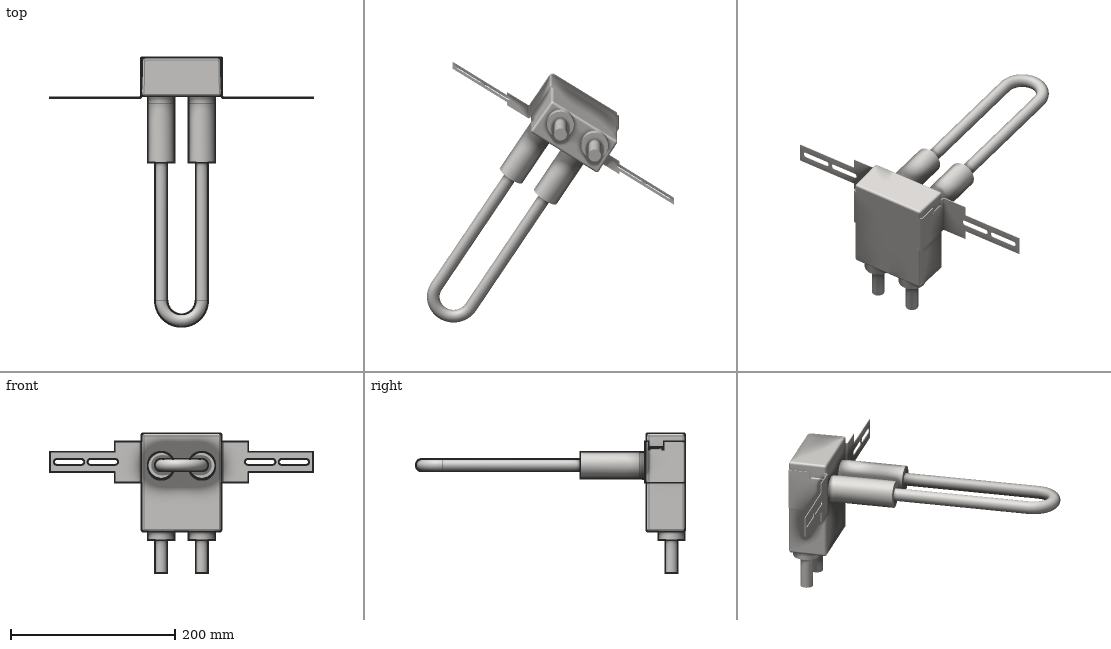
import cadquery as cq
import math


housing_width = 97.7
housing_rear_width = 95.8
housing_depth = 47.5
housing_height = 120.0
housing_fillet = 3.0

pipe_diameter = 15.5
pipe_spacing = 49.5
pipe_front_reach = 328.0
pipe_tail = 40.5
sleeve_diameter = 32.8
sleeve_front_reach = 128.0
sleeve_collar = 10.2
elbow_radius = 39.5
front_leg_drop = 39.0
riser_y = -16.7

sheet = 1.0
bend_radius = 2.0
strap_height = 50.2
strap_center_drop = 35.0
strap_depth = 49.5
flange_half_width = 81.5
arm_half_span = 160.0
arm_height = 25.0
slot_length = 36.7
slot_height = 7.0
slot_centers = (95.8, 136.8)

notch_rear_y = -26.0
notch_front_y = -44.5
notch_depth = 10.2
tab_rear_y = -28.2
tab_front_y = -43.3
tab_drop = 7.0
tab_inset = 6.5

leg_x = pipe_spacing / 2
bend_start_y = riser_y - elbow_radius
front_leg_z = housing_height - front_leg_drop
riser_top_z = front_leg_z - elbow_radius
sleeve_bottom_z = -sleeve_collar
pipe_bottom_z = sleeve_bottom_z - pipe_tail
return_start_y = pipe_diameter / 2 + leg_x - pipe_front_reach
strap_half_width = housing_width / 2 + sheet
strap_center_z = housing_height - strap_center_drop
strap_bottom_z = strap_center_z - strap_height / 2
strap_top_z = strap_center_z + strap_height / 2
inner_bend_radius = bend_radius - sheet
tab_top_z = strap_top_z - tab_drop
notch_floor_z = strap_top_z - notch_depth


def box(x_range, y_range, z_range):
    """Axis-aligned block between the given limits."""
    size = [abs(b - a) for a, b in (x_range, y_range, z_range)]
    low = [min(limits) for limits in (x_range, y_range, z_range)]
    return cq.Workplane("XY").box(*size, centered=False).translate(tuple(low))


def leg_path(x, bottom_z, front_y):
    """Centre line of one leg: up from the bottom, round the elbow and out of the front."""
    corner = elbow_radius * math.sqrt(0.5)
    elbow_middle = (bend_start_y + corner, riser_top_z + corner)
    return (
        cq.Workplane("YZ", origin=(x, 0, 0))
        .moveTo(riser_y, bottom_z)
        .lineTo(riser_y, riser_top_z)
        .threePointArc(elbow_middle, (bend_start_y, front_leg_z))
        .lineTo(front_y, front_leg_z)
    )


def leg(x, diameter, bottom_z, front_y):
    """Round bar swept along one leg."""
    start = cq.Workplane("XY", origin=(x, riser_y, bottom_z))
    return start.circle(diameter / 2).sweep(leg_path(x, bottom_z, front_y))


def make_pipe():
    """Both legs joined by a half-circle return bend at the front."""
    return_bend = (
        cq.Workplane("XZ", origin=(leg_x, return_start_y, front_leg_z))
        .circle(pipe_diameter / 2)
        .revolve(180, (-leg_x, 0, 0), (-leg_x, -1, 0))
    )
    left_leg = leg(-leg_x, pipe_diameter, pipe_bottom_z, return_start_y)
    right_leg = leg(leg_x, pipe_diameter, pipe_bottom_z, return_start_y)
    return left_leg.union(return_bend).union(right_leg)


def make_sleeve(x):
    """Thick tube around one leg of the pipe."""
    outside = leg(x, sleeve_diameter, sleeve_bottom_z, -sleeve_front_reach)
    bore = leg(x, pipe_diameter, sleeve_bottom_z, -sleeve_front_reach)
    return outside.cut(bore)


def strap_sheet():
    """Hat section in plan, extruded over the height of the strap."""
    side = strap_half_width
    inner = side - sheet
    flange_rear_y = sheet - strap_depth
    section = (
        cq.Workplane("XY", origin=(0, 0, strap_bottom_z))
        .moveTo(-arm_half_span, -strap_depth)
        .lineTo(-inner, -strap_depth)
        .lineTo(-inner, -sheet)
        .lineTo(inner, -sheet)
        .lineTo(inner, -strap_depth)
        .lineTo(arm_half_span, -strap_depth)
        .lineTo(arm_half_span, flange_rear_y)
        .lineTo(side, flange_rear_y)
        .lineTo(side, 0)
        .lineTo(-side, 0)
        .lineTo(-side, flange_rear_y)
        .lineTo(-arm_half_span, flange_rear_y)
        .close()
        .extrude(strap_height)
    )
    bends = (
        (side, 0, bend_radius),
        (inner, -sheet, inner_bend_radius),
        (inner, -strap_depth, bend_radius),
        (side, flange_rear_y, inner_bend_radius),
    )
    for x, y, radius in bends:
        for sign in (-1, 1):
            corner = cq.selectors.NearestToPointSelector((sign * x, y, strap_center_z))
            section = section.edges("|Z").edges(corner).fillet(radius)
    return section


def tab(sign):
    """Tab folded inwards over the side of the housing."""
    outer_x = sign * strap_half_width
    inner_x = sign * (strap_half_width - sheet)
    tip_x = sign * (strap_half_width - tab_inset)
    y_range = (tab_rear_y, tab_front_y)
    outer_edge = ">X" if sign > 0 else "<X"
    outside = box((tip_x, outer_x), y_range, (notch_floor_z, tab_top_z))
    outside = outside.edges("|Y and >Z").edges(outer_edge).fillet(bend_radius)
    inside = box((tip_x, inner_x), y_range, (notch_floor_z, tab_top_z - sheet))
    inside = inside.edges("|Y and >Z").edges(outer_edge).fillet(inner_bend_radius)
    return outside.cut(inside)


def arm_trims(sign):
    """Material removed above and below one flange to leave its narrow arm."""
    x_range = (sign * flange_half_width, sign * arm_half_span)
    y_range = (-strap_depth, sheet - strap_depth)
    upper = box(x_range, y_range, (strap_center_z + arm_height / 2, strap_top_z))
    lower = box(x_range, y_range, (strap_bottom_z, strap_center_z - arm_height / 2))
    return upper.union(lower)


def arm_slot(x):
    """Round-ended slot through the arm."""
    start = cq.Workplane("XZ", origin=(x, 0, strap_center_z))
    return start.slot2D(slot_length, slot_height).extrude(strap_depth)


def side_notch(sign):
    """Gap around the tab in the upper edge of one strap side."""
    x_range = (sign * (strap_half_width - sheet), sign * strap_half_width)
    return box(x_range, (notch_rear_y, notch_front_y), (notch_floor_z, strap_top_z))


def make_strap():
    """Bent sheet with slotted arms and a tab on each side."""
    strap = strap_sheet()
    for sign in (-1, 1):
        strap = strap.cut(arm_trims(sign))
        for slot_x in slot_centers:
            strap = strap.cut(arm_slot(sign * slot_x))
        strap = strap.cut(side_notch(sign)).union(tab(sign))
    return strap


def make_housing(strap):
    """Rounded block with passages for the sleeves and a seat for the strap."""
    front = housing_width / 2
    rear = housing_rear_width / 2
    block = (
        cq.Workplane("XY")
        .polyline([(-rear, 0), (rear, 0), (front, -housing_depth), (-front, -housing_depth)])
        .close()
        .extrude(housing_height)
        .edges()
        .fillet(housing_fillet)
    )
    for x in (-leg_x, leg_x):
        block = block.cut(leg(x, sleeve_diameter, sleeve_bottom_z, -sleeve_front_reach))
    return block.cut(strap)


pipe = make_pipe()
sleeves = [make_sleeve(x) for x in (-leg_x, leg_x)]
strap = make_strap()
housing = make_housing(strap)

result = cq.Compound.makeCompound(
    [housing.val(), pipe.val(), *[sleeve.val() for sleeve in sleeves], strap.val()]
)